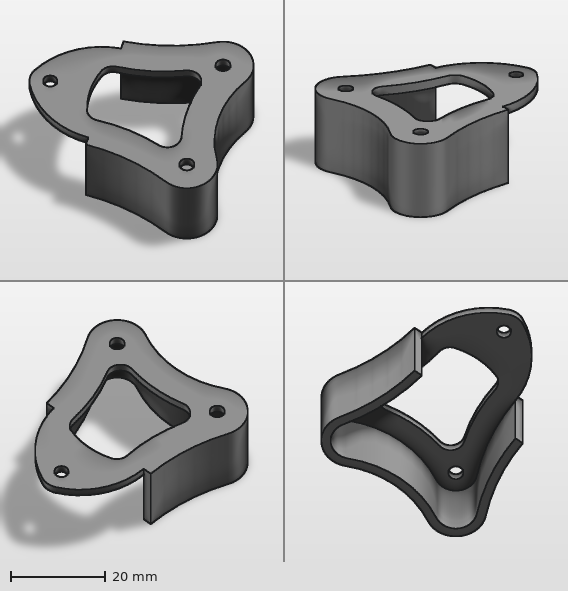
import cadquery as cq
import math

axis_angle = 16.1
height = 17.0
plate_thickness = 2.0
wall_thickness = 2.0

lobe_x = 34.15
lobe_y = 14.13
lobe_radius = 6.515
lobe_hole_radius = 1.6

end_arc_radius = 23.85
side_arc_radius = 45.8
wall_end_x = 12.03
wall_end_y = 14.7

nose_radius = 4.45
nose_hole_radius = 1.505
nose_flank_radius = 18.95

window_end_x = 30.2
window_end_radius = 32.95
window_nose_x = 8.85
window_nose_radius = 17.9
window_side_y = 7.65
window_side_radius = 38.65
window_corner_radius = 3.0


def circle_crossings(first, first_radius, second, second_radius):
    """Both crossing points of two circles, left of the line first-second given first."""
    dx = second[0] - first[0]
    dy = second[1] - first[1]
    gap = math.hypot(dx, dy)
    along = (gap**2 + first_radius**2 - second_radius**2) / (2 * gap)
    across = math.sqrt(first_radius**2 - along**2)
    foot = (first[0] + along * dx / gap, first[1] + along * dy / gap)
    left = (foot[0] - across * dy / gap, foot[1] + across * dx / gap)
    right = (foot[0] + across * dy / gap, foot[1] - across * dx / gap)
    return left, right


def toward(start, target, distance):
    """Point at a distance from start on the ray through target."""
    span = math.dist(start, target)
    return tuple(s + (t - s) * distance / span for s, t in zip(start, target))


def mirrored(point):
    return (point[0], -point[1])


def arc_middle(center, radius, start, end):
    """Middle of the shorter arc from start to end."""
    chord_middle = ((start[0] + end[0]) / 2, (start[1] + end[1]) / 2)
    return toward(center, chord_middle, radius)


lobe = (lobe_x, lobe_y)
end_center = (lobe_x + math.sqrt((end_arc_radius + lobe_radius) ** 2 - lobe_y**2), 0)
side_center, _ = circle_crossings(
    (wall_end_x, wall_end_y), side_arc_radius, lobe, side_arc_radius + lobe_radius
)


def body_profile(inset):
    """Lobed outline moved inward by inset, cut straight at the wall ends."""
    side_radius = side_arc_radius + inset
    end_radius = end_arc_radius + inset
    drop = math.sqrt(side_radius**2 - (wall_end_x - side_center[0]) ** 2)
    wall_end = (wall_end_x, side_center[1] - drop)
    side_tangent = toward(side_center, lobe, side_radius)
    end_tangent = toward(end_center, lobe, end_radius)
    side_middle = arc_middle(side_center, side_radius, wall_end, side_tangent)
    lobe_middle = toward(lobe, (lobe_x + 0.5, lobe_y + 0.5), lobe_radius - inset)
    return (
        cq.Workplane("XY")
        .moveTo(*wall_end)
        .threePointArc(side_middle, side_tangent)
        .threePointArc(lobe_middle, end_tangent)
        .threePointArc((end_center[0] - end_radius, 0), mirrored(end_tangent))
        .threePointArc(mirrored(lobe_middle), mirrored(side_tangent))
        .threePointArc(mirrored(side_middle), mirrored(wall_end))
        .close()
    )


def nose_plate():
    """Rounded nose, flanked by arcs that meet the inner corners of the wall ends."""
    corner = (wall_end_x, wall_end_y - wall_thickness)
    _, flank_center = circle_crossings(
        (0, 0), nose_flank_radius - nose_radius, corner, nose_flank_radius
    )
    tangent = toward(flank_center, (0, 0), nose_flank_radius)
    flank_middle = arc_middle(flank_center, nose_flank_radius, corner, tangent)
    return (
        cq.Workplane("XY", origin=(0, 0, height - plate_thickness))
        .moveTo(*corner)
        .threePointArc(flank_middle, tangent)
        .threePointArc((-nose_radius, 0), mirrored(tangent))
        .threePointArc(mirrored(flank_middle), mirrored(corner))
        .close()
        .extrude(plate_thickness)
    )


def window():
    """Four-sided opening bounded by arcs, with rounded corners."""
    end_arc_center = (window_end_x + window_end_radius, 0)
    nose_arc_center = (window_nose_x + window_nose_radius, 0)
    side_arc_center = (wall_end_x, window_side_y + window_side_radius)
    _, end_corner = circle_crossings(
        side_arc_center, window_side_radius, end_arc_center, window_end_radius
    )
    _, nose_corner = circle_crossings(
        side_arc_center, window_side_radius, nose_arc_center, window_nose_radius
    )
    side_middle = arc_middle(side_arc_center, window_side_radius, nose_corner, end_corner)
    return (
        cq.Workplane("XY")
        .moveTo(*nose_corner)
        .threePointArc(side_middle, end_corner)
        .threePointArc((window_end_x, 0), mirrored(end_corner))
        .threePointArc(mirrored(side_middle), mirrored(nose_corner))
        .threePointArc((window_nose_x, 0), nose_corner)
        .close()
        .extrude(height)
        .edges("|Z")
        .fillet(window_corner_radius)
    )


def holes():
    nose_hole = cq.Workplane("XY").circle(nose_hole_radius).extrude(height)
    lobe_holes = (
        cq.Workplane("XY")
        .pushPoints([lobe, mirrored(lobe)])
        .circle(lobe_hole_radius)
        .extrude(height)
    )
    return nose_hole.union(lobe_holes)


cavity = body_profile(wall_thickness).extrude(height - plate_thickness)
body = body_profile(0).extrude(height).cut(cavity)
result = (
    body.union(nose_plate())
    .cut(window())
    .cut(holes())
    .rotate((0, 0, 0), (0, 0, 1), axis_angle)
)